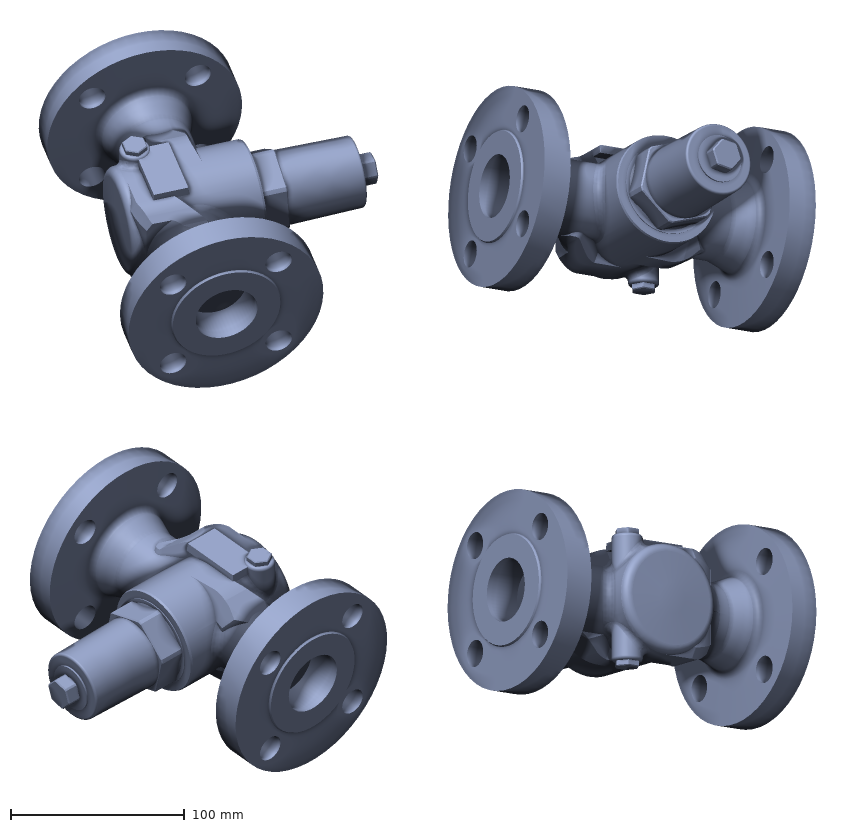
import cadquery as cq
import math


LENGTH = 180.0
FLANGE_DIAMETER = 117.4
FLANGE_THICKNESS = 17.1
FLANGE_BACK_RISE = 1.0
RAISED_FACE_DIAMETER = 66.2
RAISED_FACE_HEIGHT = 1.3
RAISED_FACE_CHAMFER = 0.7
NECK_ROOT_RADIUS = 31.3
NECK_CONE_RADIUS = 27.0
NECK_CONE_START = 66.8
NECK_CONE_END_RADIUS = 23.0
NECK_CONE_END = 55.8
NECK_BLEND_END = 53.3
PIPE_RADIUS = 22.5
BORE_DIAMETER = 37.3
BORE_DEPTH = 21.6
BOLT_CIRCLE_DIAMETER = 90.0
BOLT_HOLE_DIAMETER = 15.8
BOLT_HOLE_COUNT = 4

BODY_DIAMETER = 65.0
BODY_TOP = 42.5
BODY_RIM_HEIGHT = 1.3
BODY_RIM_INSET = 0.5
BODY_BOTTOM_EDGE = -38.5
BODY_BOTTOM_CENTRE = -40.0
BODY_BOTTOM_DIAMETER = 55.3
BODY_PIPE_FILLET = 5.0

SEAT_RADIUS = 27.0
SEAT_TOP = 43.0
COLLAR_BASE_RADIUS = 24.5
COLLAR_TOP_RADIUS = 22.7
COLLAR_TOP = 44.5
NUT_CORNER_DIAMETER = 53.6
NUT_ROUND_DIAMETER = 52.2
NUT_TURN = 42.4
NUT_TOP = 58.3
SLEEVE_BASE_RADIUS = 22.1
SLEEVE_TOP_RADIUS = 21.2
SLEEVE_TOP = 105.8
SLEEVE_EDGE_FILLET = 1.5
WASHER_RADIUS = 14.0
WASHER_TOP = 107.0
SCREW_NECK_RADIUS = 7.5
SCREW_HEAD_BASE = 108.0
SCREW_CORNER_DIAMETER = 19.3
SCREW_ROUND_DIAMETER = 18.5
SCREW_TURN = 10.5
SCREW_TOP = 116.3
HEX_EDGE_CHAMFER = 0.7

SWELL_HEIGHT = BODY_DIAMETER / 2
SWELL_SIDE_TAPER = 28.0
SWELL_LIMIT = 2 * SWELL_HEIGHT

INLET_REACH = 43.2
INLET_OVERLAP = 9.0
INLET_DEPTH = 21.6
INLET_FLAT_END = -17.1
INLET_SLOPE_START = (-27.9, 30.0)
INLET_END_HEIGHT = 21.2
INLET_PAD = [(0, -1.8), (-19.8, -1.8), (-40.5, -5.8), (-40.5, 7.5), (-27.0, 10.8), (0, 13.7)]
INLET_FRONT = -9.9
INLET_BACK = 18.5
INLET_BACK_CORNER = (-32.4, INLET_BACK)
INLET_END_BACK = 8.1
INLET_CONE_START = (-23.4, 36.0)

OUTLET_REACH = 48.6
OUTLET_DEPTH = 32.4
OUTLET_FLAT_END = 19.8
OUTLET_SLOPE_START = (29.2, 29.7)
OUTLET_SLOPE_END = (37.0, 24.7)
OUTLET_END_HEIGHT = 22.1
OUTLET_END_BACK = -10.8
CREST_FRONT = -32.8
CREST_FRONT_END = 18.9
CREST_FRONT_MIDDLE = (29.7, -26.8)
CREST_CORNER = (36.9, -14.4)
CREST_BACK = -10.8
CREST_BACK_START = 18.9
CREST_BACK_CORNER = (37.8, 0.4)
BASE_FRONT = -36.4
BASE_FRONT_END = 14.4
BASE_CORNER = (33.0, -31.0)
BASE_BACK = -4.3
BASE_BACK_START = 18.0
BASE_BACK_CORNER = (39.2, 8.6)
FLARE_RIM = 32.4
FLARE_START = (33.5, 31.0)
FLARE_MIDDLE = (38.5, 25.5)
FLARE_END_RADIUS = PIPE_RADIUS - 0.2

PLUG_X = -19.5
PLUG_Y = -22.0
PLUG_BOSS_DIAMETER = 18.0
PLUG_BOSS_TOP = 37.5
PLUG_BOSS_EDGE_FILLET = 2.0
PLUG_BOSS_ROOT_FILLET = 3.6
PLUG_HEX_DIAMETER = 15.0
PLUG_HEX_TOP = 40.7
PLUG_HEX_CHAMFER = 0.5
PLATE_LEFT = -19.3
PLATE_RIGHT = 19.6
PLATE_FRONT = -22.3
PLATE_BACK = -1.6
PLATE_TOP = 36.4
PLATE_BOTTOM = 31.3
PLATE_SIDE_TAPER = 8.0


def disc_along_y(radius, start, end):
    """Round bar on the Y axis between two Y positions."""
    return cq.Workplane("XZ", origin=(0, start, 0)).circle(radius).extrude(start - end)


def cone_along_y(start_radius, end_radius, start, end):
    """Tapered bar on the Y axis between two Y positions."""
    return (
        cq.Workplane("XZ", origin=(0, start, 0))
        .circle(start_radius)
        .workplane(offset=start - end)
        .circle(end_radius)
        .loft()
    )


def hex_along_y(corner_diameter, round_diameter, turn, start, end):
    """Hexagon on the Y axis with rounded corners and a chamfered outer end."""
    corner_radius = corner_diameter / 2
    corners = [
        (corner_radius * math.cos(math.radians(turn + 60 * i)),
         corner_radius * math.sin(math.radians(turn + 60 * i)))
        for i in range(6)
    ]
    prism = cq.Workplane("XZ", origin=(0, start, 0)).polyline(corners).close().extrude(start - end)
    prism = prism.intersect(disc_along_y(round_diameter / 2, start, end))
    return prism.faces(">Y").chamfer(HEX_EDGE_CHAMFER)


def pipe_half():
    """Flange, neck and half of the pipe on the -X side."""
    end = LENGTH / 2
    flange_face = end - RAISED_FACE_HEIGHT
    flange_back = flange_face - FLANGE_THICKNESS
    neck_root = flange_back - FLANGE_BACK_RISE
    raised_radius = RAISED_FACE_DIAMETER / 2
    flange_radius = FLANGE_DIAMETER / 2
    return (
        cq.Workplane("XZ")
        .moveTo(0, 0)
        .lineTo(-end, 0)
        .lineTo(-end, raised_radius - RAISED_FACE_CHAMFER)
        .lineTo(-flange_face, raised_radius)
        .lineTo(-flange_face, flange_radius)
        .lineTo(-flange_back, flange_radius)
        .lineTo(-neck_root, NECK_ROOT_RADIUS)
        .tangentArcPoint((-NECK_CONE_START, NECK_CONE_RADIUS), relative=False)
        .lineTo(-NECK_CONE_END, NECK_CONE_END_RADIUS)
        .tangentArcPoint((-NECK_BLEND_END, PIPE_RADIUS), relative=False)
        .lineTo(0, PIPE_RADIUS)
        .close()
        .revolve(360, (0, 0, 0), (1, 0, 0))
    )


def body():
    """Round body with a rounded lower edge and a slightly domed bottom."""
    radius = BODY_DIAMETER / 2
    bottom_radius = BODY_BOTTOM_DIAMETER / 2
    corner = radius - bottom_radius
    return (
        cq.Workplane("ZY")
        .moveTo(0, BODY_BOTTOM_CENTRE)
        .lineTo(bottom_radius, BODY_BOTTOM_EDGE)
        .tangentArcPoint((radius, BODY_BOTTOM_EDGE + corner), relative=False)
        .lineTo(radius, BODY_TOP - BODY_RIM_HEIGHT)
        .lineTo(radius - BODY_RIM_INSET, BODY_TOP)
        .lineTo(0, BODY_TOP)
        .close()
        .revolve(360, (0, 0, 0), (0, 1, 0))
    )


def inlet_swelling():
    """Sloping shoulder on the -X side, carrying the flat flow-direction pad."""
    side = (
        cq.Workplane("XZ")
        .moveTo(INLET_OVERLAP, 0)
        .lineTo(INLET_OVERLAP, SWELL_HEIGHT)
        .lineTo(INLET_FLAT_END, SWELL_HEIGHT)
        .tangentArcPoint(INLET_SLOPE_START, relative=False)
        .lineTo(-INLET_REACH, INLET_END_HEIGHT)
        .lineTo(-INLET_REACH, 0)
        .close()
        .extrude(BODY_DIAMETER, both=True)
    )
    pad = (
        cq.Workplane("XY", origin=(0, 0, SWELL_HEIGHT))
        .polyline(INLET_PAD)
        .close()
        .extrude(-INLET_DEPTH, taper=-SWELL_SIDE_TAPER)
    )
    footprint = (
        cq.Workplane("XY")
        .moveTo(INLET_OVERLAP, INLET_FRONT)
        .lineTo(-INLET_REACH, INLET_FRONT)
        .lineTo(-INLET_REACH, INLET_END_BACK)
        .lineTo(*INLET_BACK_CORNER)
        .lineTo(INLET_OVERLAP, INLET_BACK)
        .close()
        .extrude(SWELL_HEIGHT)
    )
    cone = (
        cq.Workplane("XY")
        .moveTo(INLET_OVERLAP, 0)
        .lineTo(INLET_OVERLAP, SWELL_LIMIT)
        .lineTo(*INLET_CONE_START)
        .lineTo(-INLET_REACH, PIPE_RADIUS)
        .lineTo(-INLET_REACH, 0)
        .close()
        .revolve(360, (0, 0, 0), (1, 0, 0))
    )
    upper = pad.intersect(side).intersect(footprint).intersect(cone)
    return upper.union(upper.mirror("XY"))


def outlet_swelling():
    """Broad shoulder on the +X side, sweeping from the bottom up and flaring into the pipe."""
    side = (
        cq.Workplane("XZ")
        .moveTo(0, 0)
        .lineTo(0, SWELL_HEIGHT)
        .lineTo(OUTLET_FLAT_END, SWELL_HEIGHT)
        .tangentArcPoint(OUTLET_SLOPE_START, relative=False)
        .lineTo(*OUTLET_SLOPE_END)
        .lineTo(OUTLET_REACH, OUTLET_END_HEIGHT)
        .lineTo(OUTLET_REACH, 0)
        .close()
        .extrude(BODY_DIAMETER, both=True)
    )
    crest = (
        cq.Workplane("XY", origin=(0, 0, SWELL_HEIGHT))
        .moveTo(0, CREST_FRONT)
        .lineTo(CREST_FRONT_END, CREST_FRONT)
        .threePointArc(CREST_FRONT_MIDDLE, CREST_CORNER)
        .lineTo(OUTLET_REACH, OUTLET_END_BACK)
        .lineTo(*CREST_BACK_CORNER)
        .lineTo(CREST_BACK_START, CREST_BACK)
        .lineTo(0, CREST_BACK)
        .close()
        .extrude(-OUTLET_DEPTH, taper=-SWELL_SIDE_TAPER)
    )
    footprint = (
        cq.Workplane("XY")
        .moveTo(0, BASE_FRONT)
        .lineTo(BASE_FRONT_END, BASE_FRONT)
        .tangentArcPoint(BASE_CORNER, relative=False)
        .lineTo(OUTLET_REACH, BASE_CORNER[1])
        .lineTo(OUTLET_REACH, OUTLET_END_BACK)
        .lineTo(*BASE_BACK_CORNER)
        .lineTo(BASE_BACK_START, BASE_BACK)
        .lineTo(0, BASE_BACK)
        .close()
        .extrude(SWELL_HEIGHT)
    )
    flare = (
        cq.Workplane("XY")
        .moveTo(0, 0)
        .lineTo(0, SWELL_LIMIT)
        .lineTo(FLARE_RIM, SWELL_LIMIT)
        .lineTo(*FLARE_START)
        .threePointArc(FLARE_MIDDLE, (OUTLET_REACH, FLARE_END_RADIUS))
        .lineTo(OUTLET_REACH, 0)
        .close()
        .revolve(360, (0, 0, 0), (1, 0, 0))
    )
    upper = footprint.intersect(crest).intersect(side).intersect(flare)
    return upper.union(upper.mirror("XY"))


def spring_housing():
    """Nut on its seat, tapered sleeve and adjusting screw."""
    seat = disc_along_y(SEAT_RADIUS, BODY_TOP, SEAT_TOP)
    collar = cone_along_y(COLLAR_BASE_RADIUS, COLLAR_TOP_RADIUS, SEAT_TOP, COLLAR_TOP)
    nut = hex_along_y(NUT_CORNER_DIAMETER, NUT_ROUND_DIAMETER, NUT_TURN, BODY_TOP, NUT_TOP)
    sleeve = cone_along_y(SLEEVE_BASE_RADIUS, SLEEVE_TOP_RADIUS, NUT_TOP, SLEEVE_TOP)
    sleeve = sleeve.faces(">Y").edges().fillet(SLEEVE_EDGE_FILLET)
    washer = disc_along_y(WASHER_RADIUS, SLEEVE_TOP, WASHER_TOP)
    neck = disc_along_y(SCREW_NECK_RADIUS, WASHER_TOP, SCREW_HEAD_BASE)
    head = hex_along_y(
        SCREW_CORNER_DIAMETER, SCREW_ROUND_DIAMETER, SCREW_TURN, SCREW_HEAD_BASE, SCREW_TOP
    )
    return nut.union(seat).union(collar).union(sleeve).union(washer).union(neck).union(head)


def plug_boss():
    """Round boss through the body along Z."""
    return (
        cq.Workplane("XY")
        .center(PLUG_X, PLUG_Y)
        .circle(PLUG_BOSS_DIAMETER / 2)
        .extrude(PLUG_BOSS_TOP, both=True)
        .faces("<Z or >Z")
        .edges()
        .fillet(PLUG_BOSS_EDGE_FILLET)
    )


def plugs():
    """Hexagon plugs on both ends of the boss."""
    return (
        cq.Workplane("XY")
        .center(PLUG_X, PLUG_Y)
        .polygon(6, PLUG_HEX_DIAMETER)
        .extrude(PLUG_HEX_TOP, both=True)
        .faces("<Z or >Z")
        .chamfer(PLUG_HEX_CHAMFER)
    )


def name_plate():
    """Raised rectangular plate on the +Z side with slightly sloping edges."""
    return (
        cq.Workplane("XY", origin=(0, 0, PLATE_TOP))
        .center((PLATE_LEFT + PLATE_RIGHT) / 2, (PLATE_FRONT + PLATE_BACK) / 2)
        .rect(PLATE_RIGHT - PLATE_LEFT, PLATE_BACK - PLATE_FRONT)
        .extrude(PLATE_BOTTOM - PLATE_TOP, taper=-PLATE_SIDE_TAPER)
    )


def flange_cuts():
    """Blind bore and bolt holes of the -X flange."""
    face = cq.Workplane("YZ", origin=(-LENGTH / 2, 0, 0))
    bore = face.circle(BORE_DIAMETER / 2).extrude(BORE_DEPTH)
    flange_depth = RAISED_FACE_HEIGHT + FLANGE_THICKNESS + FLANGE_BACK_RISE
    bolt_holes = (
        face.polarArray(BOLT_CIRCLE_DIAMETER / 2, 180 / BOLT_HOLE_COUNT, 360, BOLT_HOLE_COUNT)
        .circle(BOLT_HOLE_DIAMETER / 2)
        .extrude(flange_depth)
    )
    return bore.union(bolt_holes)


def casting():
    """Pipe, body and plug boss, with the curves where they meet filleted."""
    half = pipe_half()
    shell = half.union(half.mirror("YZ")).union(body())
    reach = BODY_DIAMETER / 2 + 1.8
    pipe_zone = cq.selectors.BoxSelector((-reach, -reach, -reach), (reach, reach, reach))
    shell = shell.edges(pipe_zone).edges("%BSPLINE").fillet(BODY_PIPE_FILLET)

    boss_left = PLUG_X - PLUG_BOSS_DIAMETER
    boss_right = PLUG_X + PLUG_BOSS_DIAMETER
    boss_front = PLUG_Y - PLUG_BOSS_DIAMETER
    boss_back = PLUG_Y + PLUG_BOSS_DIAMETER / 2
    boss_zone = cq.selectors.BoxSelector((boss_left, boss_front, -reach), (boss_right, boss_back, reach))
    shell = shell.union(plug_boss())
    return shell.edges(boss_zone).edges("%BSPLINE").fillet(PLUG_BOSS_ROOT_FILLET)


left_cuts = flange_cuts()
result = (
    casting()
    .union(inlet_swelling())
    .union(outlet_swelling())
    .union(spring_housing())
    .union(plugs())
    .union(name_plate())
    .cut(left_cuts)
    .cut(left_cuts.mirror("YZ"))
)